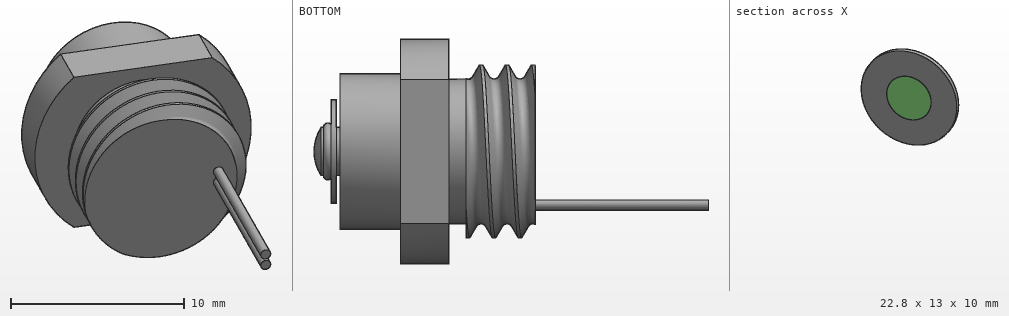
import cadquery as cq
import math


button_radius = 1.4
dome_height = 0.42
ring_tube_radius = 0.25
ring_x = 0.8
washer_radius = 3.0
washer_x = 1.0
washer_thickness = 0.3

barrel_radius = 4.5
barrel_x = 1.5
barrel_length = 3.5
flange_radius = 6.5
flange_length = 2.8
flange_across_flats = 10.0
relief_length = 1.0
flange_x = barrel_x + barrel_length
neck_x = flange_x + flange_length
thread_x = neck_x + relief_length

thread_radius = 5.0
thread_pitch = 1.5
thread_length = 4.0
thread_half_angle = math.radians(30)
sharp_depth = thread_pitch / (2 * math.tan(thread_half_angle))
root_width = thread_pitch / 4
root_radius = thread_radius - sharp_depth * 5 / 8
groove_run_in = 1.02
groove_turns = 4
cutter_overlap = 0.1
rear_x = thread_x + thread_length

wire_radius = 0.3
wire_spacing = 0.7
wire_y = 3.1
wire_length = 10.0


def cylinder(radius, start_x, length):
    return cq.Workplane("YZ", origin=(start_x, 0, 0)).circle(radius).extrude(length)


def revolve_about_x(profile):
    return profile.revolve(360, (0, 0, 0), (1, 0, 0))


def button():
    """Domed pin reaching the barrel, with a round ring seated in the front of the washer."""
    dome_radius = (button_radius**2 + dome_height**2) / (2 * dome_height)
    middle_x = dome_height / 2
    middle_radius = math.sqrt(dome_radius**2 - (dome_radius - middle_x) ** 2)
    pin = revolve_about_x(
        cq.Workplane("XY")
        .threePointArc((middle_x, middle_radius), (dome_height, button_radius))
        .lineTo(barrel_x, button_radius)
        .lineTo(barrel_x, 0)
        .close()
    )
    ring = revolve_about_x(cq.Workplane("XY").moveTo(ring_x, button_radius).circle(ring_tube_radius))
    return pin.union(ring)


def flange():
    """Round flange with two flats facing +Z and -Z."""
    flats = cq.Workplane("XY").box(flange_length, 2 * flange_radius, flange_across_flats)
    flats = flats.translate((flange_x + flange_length / 2, 0, 0))
    return cylinder(flange_radius, flange_x, flange_length).intersect(flats)


def thread():
    """Cylinder with a right-hand helical groove that runs out at both end faces."""
    cutter_radius = thread_radius + cutter_overlap
    root_half = root_width / 2
    arc_half = root_half * (1 + math.sin(thread_half_angle))
    arc_end_radius = root_radius + root_half * math.cos(thread_half_angle)
    mouth_half = root_half + (cutter_radius - root_radius) * math.tan(thread_half_angle)
    path = cq.Wire.makeHelix(thread_pitch, thread_pitch * groove_turns, root_radius)
    groove = (
        cq.Workplane("XZ")
        .moveTo(arc_end_radius, -arc_half)
        .lineTo(cutter_radius, -mouth_half)
        .lineTo(cutter_radius, mouth_half)
        .lineTo(arc_end_radius, arc_half)
        .threePointArc((root_radius, 0), (arc_end_radius, -arc_half))
        .close()
        .sweep(path, isFrenet=True)
    )
    groove = groove.rotate((0, 0, 0), (0, 1, 0), 90).translate((thread_x - groove_run_in, 0, 0))
    return cylinder(thread_radius, thread_x, thread_length).cut(groove)


def wires():
    """Two parallel wires standing out from the rear face, one above the other."""
    pair = cq.Workplane("YZ", origin=(rear_x, 0, 0)).pushPoints(
        [(wire_y, -wire_spacing / 2), (wire_y, wire_spacing / 2)]
    )
    return pair.circle(wire_radius).extrude(wire_length)


result = (
    button()
    .union(cylinder(washer_radius, washer_x, washer_thickness))
    .union(cylinder(barrel_radius, barrel_x, barrel_length))
    .union(flange())
    .union(cylinder(root_radius, neck_x, relief_length))
    .union(thread())
    .union(wires())
)